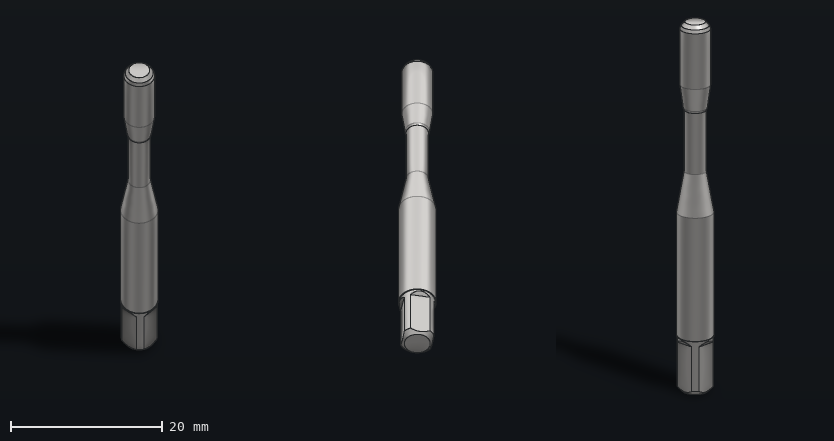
import cadquery as cq

total_length = 52.1
body_diameter = 5.0
drive_diameter = 4.8
neck_diameter = 2.95
head_diameter = 4.1
head_cone_end_diameter = 3.25
tip_shoulder_diameter = 3.7
tip_diameter = 2.75

drive_top = 7.75
body_top = 25.2
neck_bottom = 31.0
neck_top = 39.65
head_cone_bottom = 39.95
head_bottom = 43.25
tip_shoulder = total_length - 0.5
head_top = total_length - 1.0

square_width = 4.0
flat_length = 7.0
run_out_slope = 1.4
end_chamfer = 0.7


def make_turned_blank():
    """Revolve the stepped profile about the Z axis."""
    profile = [
        (0, 0),
        (drive_diameter / 2 - end_chamfer, 0),
        (drive_diameter / 2, end_chamfer),
        (drive_diameter / 2, drive_top),
        (body_diameter / 2, drive_top),
        (body_diameter / 2, body_top),
        (neck_diameter / 2, neck_bottom),
        (neck_diameter / 2, neck_top),
        (head_cone_end_diameter / 2, head_cone_bottom),
        (head_diameter / 2, head_bottom),
        (head_diameter / 2, head_top),
        (tip_shoulder_diameter / 2, tip_shoulder),
        (tip_diameter / 2, total_length),
        (0, total_length),
    ]
    return cq.Workplane("XZ").polyline(profile).close().revolve(360, (0, 0), (0, 1))


def make_flat_cutter():
    """Cutter for the +X flat, with a sloped run-out at its upper end."""
    flat_offset = square_width / 2
    cut_depth = body_diameter / 2 - flat_offset
    return (
        cq.Workplane("XZ")
        .moveTo(flat_offset, 0)
        .lineTo(flat_offset, flat_length)
        .lineTo(flat_offset + cut_depth, flat_length + run_out_slope * cut_depth)
        .lineTo(flat_offset + cut_depth, 0)
        .close()
        .extrude(body_diameter / 2, both=True)
    )


result = make_turned_blank()
flat_cutter = make_flat_cutter()
for angle in (0, 90, 180, 270):
    result = result.cut(flat_cutter.rotate((0, 0, 0), (0, 0, 1), angle))